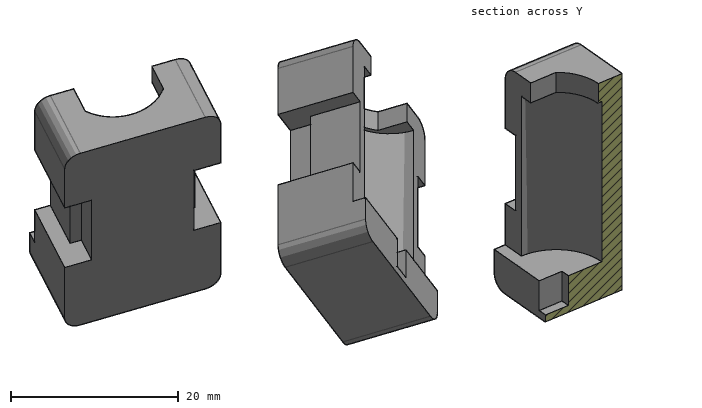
import cadquery as cq

height = 30.75
width = 20.0
depth = 11.6
corner_radius = 2.0

ledge_depth = 1.65
ledge_height = 5.25

bore_radius = 6.83
top_wall = 2.83
mouth_radius = 6.3
mouth_width = 10.0

slot_width = 2.4
slot_length = 3.45
slot_depth = 4.2

notch_bottom = 11.1
notch_top = 21.77
notch_depth = 2.0
shallow_notch_length = 6.55
rear_notch_depth = 3.45


def box(x_start, x_end, y_size, z_start, z_end, y_center=0):
    """Box between the given X and Z limits, centred on y_center."""
    return cq.Workplane("XY").box(
        x_end - x_start, y_size, z_end - z_start, centered=(False, True, False)
    ).translate((x_start, y_center, z_start))


def bore(radius, z_start, z_end):
    """Vertical cylinder on the bore axis."""
    return (
        cq.Workplane("XY", origin=(ledge_depth, 0, z_start))
        .circle(radius)
        .extrude(z_end - z_start)
    )


def side_notch(side):
    """Stepped notch on one side; side is -1 or +1."""
    y_face = side * width / 2
    shallow = box(0, depth, 2 * notch_depth, notch_bottom, notch_top, y_face)
    step_x = ledge_depth + shallow_notch_length
    deep = box(step_x, depth, 2 * rear_notch_depth, notch_bottom, notch_top, y_face)
    return shallow.union(deep)


body = box(0, depth, width, 0, height).edges("|X").fillet(corner_radius)

body = body.cut(box(0, ledge_depth, width, ledge_height, height))

body = body.cut(bore(bore_radius, ledge_height, height - top_wall))
mouth_flats = box(0, depth, mouth_width, ledge_height, height)
body = body.cut(bore(mouth_radius, ledge_height, height).intersect(mouth_flats))

body = body.cut(box(0, slot_length, slot_width, ledge_height - slot_depth, ledge_height))

for side in (-1, 1):
    body = body.cut(side_notch(side))

result = body